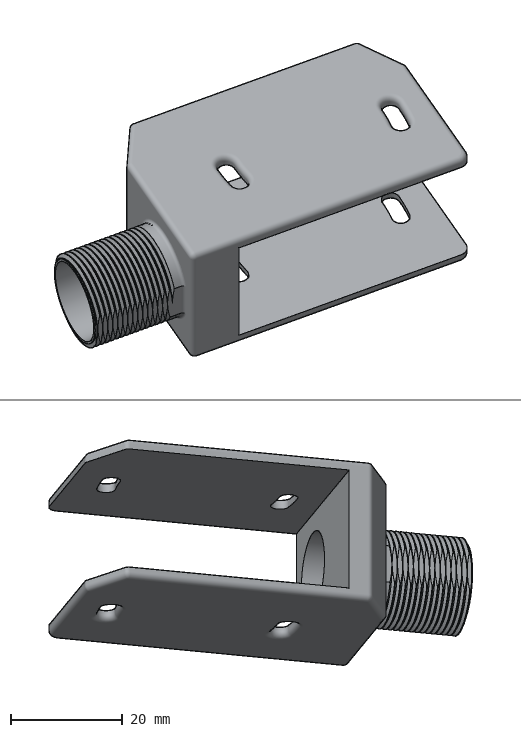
import cadquery as cq
import math

BODY_WIDTH = 35.0
BODY_LENGTH = 56.0
BODY_HEIGHT = 26.5
BODY_RIGHT = 11.0
BODY_LEFT = BODY_RIGHT - BODY_WIDTH
LEG_THICKNESS = 2.0
END_WALL = 9.5
BEVEL_WIDTH = 9.0
BEVEL_ANGLE = 30
BEVEL_LENGTH = BEVEL_WIDTH * math.tan(math.radians(BEVEL_ANGLE))
EDGE_RADIUS = 1.0
OPEN_CORNER_RADIUS = 2.0

SLOT_WIDTH = 3.3
SLOT_LEFT_X = -6.95
SLOT_LOW_Y = 16.0
SLOT_SPACING = 33.0
SLOT_SWEEP = 8

CONNECTOR_LENGTH = 74 - BODY_LENGTH
CONNECTOR_RADIUS = 8.9
FLAT_DISTANCE = 16.35
BORE_RADIUS = 7.6
TIP_RADIUS = 8.1
TIP_LENGTH = 0.2
NECK_FILLET = 0.7
THREAD_PITCH = 1.0
THREAD_DEPTH = 0.75
THREAD_ANGLE = 60
THREAD_START = 2.45


def make_body():
    """U-shaped clamp with its two left corners bevelled and its outer edges rounded."""
    bevel_x = BODY_LEFT + BEVEL_WIDTH
    body = (
        cq.Workplane("XY")
        .workplane(offset=-BODY_HEIGHT / 2)
        .moveTo(BODY_RIGHT, 0)
        .lineTo(BODY_RIGHT, BODY_LENGTH)
        .lineTo(bevel_x, BODY_LENGTH)
        .lineTo(BODY_LEFT, BODY_LENGTH - BEVEL_LENGTH)
        .lineTo(BODY_LEFT, BEVEL_LENGTH)
        .lineTo(bevel_x, 0)
        .close()
        .extrude(BODY_HEIGHT)
    )
    body = body.edges("|Z").edges("not (>X and >Y)").fillet(EDGE_RADIUS)
    body = body.edges("|Z and >X").edges(">Y").fillet(OPEN_CORNER_RADIUS)
    body = body.faces("<Z or >Z").edges().fillet(EDGE_RADIUS)
    return body.cut(make_gap())


def make_gap():
    """Space between the two legs, open at both sides and at the far end."""
    return cq.Workplane("XY").box(
        2 * BODY_WIDTH,
        BODY_LENGTH,
        BODY_HEIGHT - 2 * LEG_THICKNESS,
        centered=(True, False, True),
    ).translate((0, END_WALL, 0))


def make_slot(height):
    """Cutter for the far slot, bent along an arc about the near slot's left end."""

    def polar(radius, degrees_from_y):
        turn = math.radians(degrees_from_y)
        return (SLOT_LEFT_X + radius * math.sin(turn), SLOT_LOW_Y + radius * math.cos(turn))

    inner = SLOT_SPACING - SLOT_WIDTH / 2
    outer = SLOT_SPACING + SLOT_WIDTH / 2
    return (
        cq.Workplane("XY")
        .workplane(offset=-height / 2)
        .moveTo(*polar(inner, 0))
        .threePointArc((SLOT_LEFT_X - SLOT_WIDTH / 2, SLOT_LOW_Y + SLOT_SPACING), polar(outer, 0))
        .threePointArc(polar(outer, SLOT_SWEEP / 2), polar(outer, SLOT_SWEEP))
        .tangentArcPoint(polar(inner, SLOT_SWEEP), relative=False)
        .threePointArc(polar(inner, SLOT_SWEEP / 2), polar(inner, 0))
        .close()
        .extrude(height)
    )


def cut_slots(body):
    """Cut both slots through both legs and round their outer rims."""
    far_slot = make_slot(2 * BODY_HEIGHT)
    slot_mid_y = SLOT_LOW_Y + SLOT_SPACING / 2
    near_slot = far_slot.mirror("XZ", (0, slot_mid_y, 0))
    body = body.cut(far_slot).cut(near_slot)

    reach = (SLOT_SPACING + 3 * SLOT_WIDTH) / 2
    for face_z in (-BODY_HEIGHT / 2, BODY_HEIGHT / 2):
        rims = cq.selectors.BoxSelector(
            (SLOT_LEFT_X - SLOT_WIDTH, slot_mid_y - reach, face_z - EDGE_RADIUS / 2),
            (SLOT_LEFT_X + 3 * SLOT_WIDTH, slot_mid_y + reach, face_z + EDGE_RADIUS / 2),
        )
        body = body.edges(rims).fillet(EDGE_RADIUS)
    return body


def add_connector(body):
    """Add the flattened, threaded connector stub, blended into the end face of the body."""
    stub = cq.Workplane("XZ").circle(CONNECTOR_RADIUS).extrude(CONNECTOR_LENGTH - TIP_LENGTH)
    tip = cq.Workplane("XZ").circle(TIP_RADIUS).extrude(CONNECTOR_LENGTH)
    flats = cq.Workplane("XY").box(FLAT_DISTANCE, 3 * CONNECTOR_LENGTH, 3 * CONNECTOR_RADIUS)
    stub = stub.intersect(flats).cut(make_thread_groove())
    body = body.union(stub).union(tip)
    neck = cq.selectors.BoxSelector(
        (-CONNECTOR_RADIUS, -NECK_FILLET / 2, -CONNECTOR_RADIUS),
        (CONNECTOR_RADIUS, NECK_FILLET / 2, CONNECTOR_RADIUS),
    )
    return body.edges(neck).fillet(NECK_FILLET)


def make_thread_groove():
    """Cutter for a right-handed V groove that runs off the free end of the connector."""
    overlap = THREAD_DEPTH / 20
    root_radius = CONNECTOR_RADIUS - THREAD_DEPTH
    half_width = (THREAD_DEPTH + overlap) * math.tan(math.radians(THREAD_ANGLE / 2))
    turns = math.ceil((CONNECTOR_LENGTH - THREAD_START) / THREAD_PITCH) + 1
    one_turn = cq.Wire.makeHelix(THREAD_PITCH, THREAD_PITCH, root_radius).Edges()[0]
    path = cq.Wire.assembleEdges(
        [one_turn.translate(cq.Vector(0, 0, turn * THREAD_PITCH)) for turn in range(turns)]
    )
    groove = (
        cq.Workplane("XZ")
        .polyline(
            [
                (root_radius, 0),
                (CONNECTOR_RADIUS + overlap, half_width),
                (CONNECTOR_RADIUS + overlap, -half_width),
            ]
        )
        .close()
        .sweep(cq.Workplane(obj=path), isFrenet=True)
    )
    return groove.translate((0, 0, THREAD_START)).rotate((0, 0, 0), (1, 0, 0), 90)


def make_bore():
    """Cutter for the bore through the connector and the end wall into the gap."""
    length = CONNECTOR_LENGTH + END_WALL
    return cq.Workplane("XZ").workplane(offset=-END_WALL).circle(BORE_RADIUS).extrude(length)


result = cut_slots(make_body())
result = add_connector(result)
result = result.cut(make_bore())